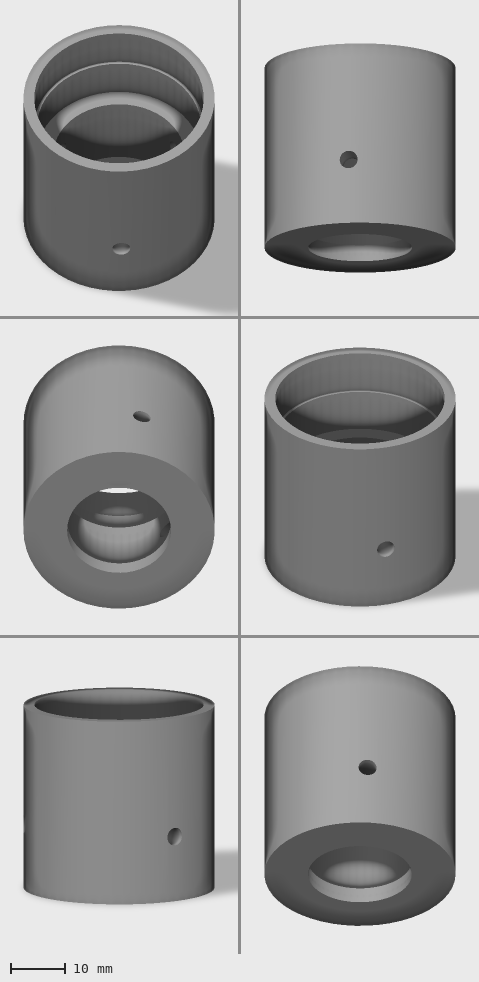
import cadquery as cq

outer_diameter = 35.0
height = 34.0

entry_diameter = 31.0
entry_depth = 8.0
seat_diameter = 30.0
seat_depth = 16.0
relief_diameter = 24.0
lip_thickness = 3.0
lip_diameter = 19.0

radial_hole_diameter = 3.3
radial_hole_height = 12.0
radial_hole_count = 3
first_hole_angle = 90.0


def bore(diameter, depth):
    """Cylinder reaching the given depth below the top rim."""
    return cq.Workplane("XY").workplane(offset=height - depth).circle(diameter / 2).extrude(depth)


def radial_hole(angle):
    """Cylinder from the axis out through the wall, at an angle from +X."""
    return (
        cq.Workplane("YZ")
        .center(0, radial_hole_height)
        .circle(radial_hole_diameter / 2)
        .extrude(outer_diameter)
        .rotate((0, 0, 0), (0, 0, 1), angle)
    )


result = cq.Workplane("XY").circle(outer_diameter / 2).extrude(height)

bore_steps = [
    (entry_diameter, entry_depth),
    (seat_diameter, seat_depth),
    (relief_diameter, height - lip_thickness),
    (lip_diameter, height),
]
for diameter, depth in bore_steps:
    result = result.cut(bore(diameter, depth))

for index in range(radial_hole_count):
    result = result.cut(radial_hole(first_hole_angle + index * 360 / radial_hole_count))